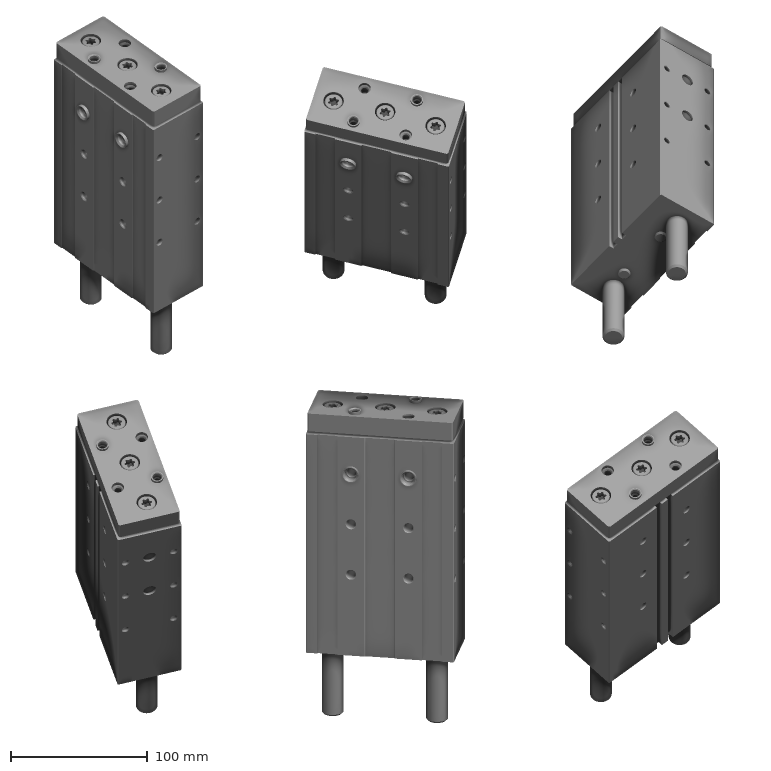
import cadquery as cq
import math


housing_width = 110.0
housing_depth = 49.0
housing_height = 172.5
front_y = -housing_depth / 2
back_y = housing_depth / 2
housing_edge_chamfer = 0.61

recess_depth = 0.7
center_recess_width = 23.0
side_recess_inner_x = 31.5
side_recess_outer_x = 46.5

slot_width = 5.0
slot_depth = 3.7
slot_x = 5.5

hole_levels = [143.5, 103.7, 64.0]
mount_hole_x = 21.5
mount_hole_dia = 6.6
mount_mouth_dia = 7.9
side_hole_y = 18.5
side_hole_dia = 5.0
side_mouth_dia = 6.0
side_hole_depth = 8.5
drill_point_angle = 118.0

port_levels = hole_levels[:2]
port_dia = 9.8
port_depth = 7.0
plug_recess = 2.0

plate_width = 108.2
plate_depth = 46.7
plate_thickness = 14.0
plate_edge_chamfer = 1.0
plate_gap = 2.0
plate_bottom = housing_height + plate_gap
plate_top = plate_bottom + plate_thickness

guide_rod_dia = 16.0
guide_rod_x = 38.8
guide_rod_y = -2.5
guide_rod_overhang = 55.0
guide_rod_chamfer = 1.5

piston_rod_dia = 9.8
piston_rod_y = -1.0
piston_rod_insertion = 86.0

counterbore_dia = 15.0
screw_head_dia = 13.0
screw_head_chamfer = 0.5
screw_head_recess = 1.0
counterbore_depth = 8.5
star_tip_dia = 8.0
star_root_dia = 6.0
star_lobe_dia = 2.0
star_depth = 5.0
star_lobes = 6

plate_seat_x = 20.0
plate_seat_offset_y = 15.0
plate_hole_dia = 5.0
plate_mouth_dia = 6.6
plate_hole_depth = 9.8

plate_sleeve_dia = 9.0
plate_sleeve_bore = 6.6
plate_sleeve_mouth = 7.9
front_sleeve_dia = 12.0
front_sleeve_bore = 8.5
front_sleeve_mouth = 11.0
plate_sleeve_projection = 2.2
front_sleeve_projection = 2.34
sleeve_seat_depth = 2.7

buffer_dia = 9.0
buffer_x = 22.4
buffer_projection = 2.0
buffer_seat_depth = 3.0
buffer_chamfer = 0.7

guide_rod_places = [(side * guide_rod_x, guide_rod_y) for side in (-1, 1)]
front_sleeve_places = [(side * mount_hole_x, hole_levels[0]) for side in (-1, 1)]
buffer_places = [(side * buffer_x, 0) for side in (-1, 1)]
plate_seat_places = [
    (side * plate_seat_x, piston_rod_y + row * plate_seat_offset_y)
    for side in (-1, 1)
    for row in (-1, 1)
]
plate_sleeve_places = [
    (side * plate_seat_x, piston_rod_y + side * plate_seat_offset_y) for side in (-1, 1)
]


def cylinder_z(place, bottom, top, diameter):
    """Upright cylinder at an (x, y) place, between two heights."""
    return cq.Workplane("XY", origin=(*place, bottom)).circle(diameter / 2).extrude(top - bottom)


def cylinder_y(place, near, far, diameter):
    """Cylinder along Y at an (x, z) place, from near to the larger far."""
    x, z = place
    return cq.Workplane("XZ", origin=(x, near, z)).circle(diameter / 2).extrude(near - far)


def front_recess(x_min, x_max, flank):
    """Strip sunk into the front face over the full height; flank is the X run of its sides."""
    floor_y = front_y + recess_depth
    return (
        cq.Workplane("XY")
        .polyline([
            (x_min, front_y),
            (x_max, front_y),
            (x_max - flank, floor_y),
            (x_min + flank, floor_y),
        ])
        .close()
        .extrude(housing_height)
    )


def countersunk_hole(diameter, mouth_diameter, depth):
    """Tool for a hole from the origin down -Z, with a 45 degree countersink."""
    radius = diameter / 2
    mouth = mouth_diameter / 2
    return (
        cq.Workplane("XZ")
        .polyline([
            (0, 0),
            (mouth, 0),
            (radius, radius - mouth),
            (radius, -depth),
            (0, -depth),
        ])
        .close()
        .revolve(360, (0, 0, 0), (0, 1, 0))
    )


def side_hole(y, z):
    """Blind hole from the -X face with a chamfered mouth and a conical drill point."""
    radius = side_hole_dia / 2
    mouth = side_mouth_dia / 2
    point = radius / math.tan(math.radians(drill_point_angle / 2))
    return (
        cq.Workplane("XY", origin=(-housing_width / 2, y, z))
        .polyline([
            (0, 0),
            (0, mouth),
            (mouth - radius, radius),
            (side_hole_depth, radius),
            (side_hole_depth + point, 0),
        ])
        .close()
        .revolve(360, (0, 0, 0), (1, 0, 0))
    )


def port_cylinder(level, start, end):
    """Cylinder of the port diameter between two depths below the -X face."""
    plane = cq.Workplane("YZ", origin=(start - housing_width / 2, 0, level))
    return plane.circle(port_dia / 2).extrude(end - start)


def make_housing():
    body = (
        cq.Workplane("XY")
        .box(housing_width, housing_depth, housing_height, centered=(True, True, False))
        .edges("|Z")
        .chamfer(housing_edge_chamfer)
    )

    center_edge = center_recess_width / 2
    body = body.cut(front_recess(-center_edge, center_edge, recess_depth))
    body = body.cut(front_recess(-side_recess_outer_x, -side_recess_inner_x, 0))
    body = body.cut(front_recess(side_recess_inner_x, side_recess_outer_x, 0))

    for side in (-1, 1):
        slot = cq.Workplane("XY", origin=(side * slot_x, back_y, 0))
        body = body.cut(slot.rect(slot_width, 2 * slot_depth).extrude(housing_height))

    for level in hole_levels:
        start_y = front_y + (sleeve_seat_depth if level == hole_levels[0] else 0)
        hole = countersunk_hole(mount_hole_dia, mount_mouth_dia, housing_depth)
        hole = hole.rotate((0, 0, 0), (1, 0, 0), 90)
        for side in (-1, 1):
            body = body.cut(hole.translate((side * mount_hole_x, start_y, level)))

    for level in hole_levels:
        for side in (-1, 1):
            left = side_hole(side * side_hole_y, level)
            body = body.cut(left).cut(left.mirror("YZ"))
    for level in port_levels:
        body = body.cut(port_cylinder(level, 0, port_depth))

    for place in guide_rod_places:
        body = body.cut(cylinder_z(place, 0, housing_height, guide_rod_dia))
    piston_end = housing_height - piston_rod_insertion
    body = body.cut(cylinder_z((0, piston_rod_y), piston_end, housing_height, piston_rod_dia))
    for place in front_sleeve_places:
        body = body.cut(cylinder_y(place, front_y, front_y + sleeve_seat_depth, front_sleeve_dia))
    for place in buffer_places:
        body = body.cut(cylinder_z(place, 0, buffer_seat_depth, buffer_dia))
    return body


def star_recess(place, top):
    """Six-lobed drive socket sunk into a screw head."""
    x, y = place
    floor = top - star_depth
    socket = cylinder_z(place, floor, top, star_root_dia)
    lobe_orbit = (star_tip_dia - star_lobe_dia) / 2
    for i in range(star_lobes):
        angle = math.pi / 2 + i * 2 * math.pi / star_lobes
        lobe_place = (x + lobe_orbit * math.cos(angle), y + lobe_orbit * math.sin(angle))
        socket = socket.union(cylinder_z(lobe_place, floor, top, star_lobe_dia))
    return socket


def make_yoke():
    body = (
        cq.Workplane("XY", origin=(0, 0, plate_bottom))
        .box(plate_width, plate_depth, plate_thickness, centered=(True, True, False))
        .edges("|Z")
        .chamfer(plate_edge_chamfer)
    )
    for place in guide_rod_places:
        rod = cylinder_z(place, -guide_rod_overhang, plate_bottom, guide_rod_dia)
        body = body.union(rod.faces("<Z").chamfer(guide_rod_chamfer))
    piston_place = (0, piston_rod_y)
    piston_end = housing_height - piston_rod_insertion
    body = body.union(cylinder_z(piston_place, piston_end, plate_bottom, piston_rod_dia))

    counterbore_floor = plate_top - counterbore_depth
    head_top = plate_top - screw_head_recess
    for place in [*guide_rod_places, piston_place]:
        head = cylinder_z(place, counterbore_floor, head_top, screw_head_dia)
        head = head.faces(">Z").chamfer(screw_head_chamfer)
        body = body.cut(cylinder_z(place, counterbore_floor, plate_top, counterbore_dia))
        body = body.union(head.cut(star_recess(place, head_top)))

    seat_floor = plate_top - sleeve_seat_depth
    hole = countersunk_hole(plate_hole_dia, plate_mouth_dia, plate_hole_depth - sleeve_seat_depth)
    for place in plate_seat_places:
        body = body.cut(cylinder_z(place, seat_floor, plate_top, plate_sleeve_dia))
        body = body.cut(hole.translate((*place, seat_floor)))
    return body


def sleeve_ring(diameter, bore, mouth, length):
    """Ring hanging down -Z from the origin, with a countersink at its top."""
    ring = cylinder_z((0, 0), -length, 0, diameter)
    return ring.cut(countersunk_hole(bore, mouth, length))


def make_plate_sleeve(place):
    length = plate_sleeve_projection + sleeve_seat_depth
    ring = sleeve_ring(plate_sleeve_dia, plate_sleeve_bore, plate_sleeve_mouth, length)
    return ring.translate((*place, plate_top + plate_sleeve_projection))


def make_front_sleeve(place):
    x, z = place
    length = front_sleeve_projection + sleeve_seat_depth
    ring = sleeve_ring(front_sleeve_dia, front_sleeve_bore, front_sleeve_mouth, length)
    return ring.rotate((0, 0, 0), (1, 0, 0), 90).translate((x, front_y - front_sleeve_projection, z))


def make_port_plug(level):
    return port_cylinder(level, plug_recess, port_depth)


def make_buffer(place):
    buffer = cylinder_z(place, -buffer_projection, buffer_seat_depth, buffer_dia)
    return buffer.faces("<Z").chamfer(buffer_chamfer)


housing = make_housing()
yoke = make_yoke()
plate_sleeves = [make_plate_sleeve(place).val() for place in plate_sleeve_places]
front_sleeves = [make_front_sleeve(place).val() for place in front_sleeve_places]
buffers = [make_buffer(place).val() for place in buffer_places]
port_plugs = [make_port_plug(level).val() for level in port_levels]

result = cq.Compound.makeCompound(
    [housing.val(), yoke.val(), *plate_sleeves, *front_sleeves, *buffers, *port_plugs]
)